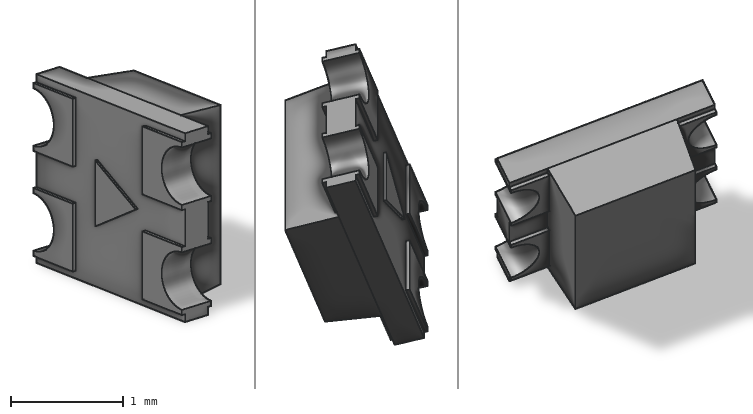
import cadquery as cq
import math

board_length = 2.0
board_width = 1.8
board_thickness = 0.275

pad_height = 0.035
pad_length = 0.532
pad_width = 0.648
pad_pitch = 1.0
notch_radius = 0.275

lens_length = 1.26
lens_draft_angle = 5.1
overall_height = 0.83

mark_circumradius = 0.365
mark_thickness = 0.025

pads_bottom = 0.0
board_bottom = pads_bottom + pad_height
board_top = board_bottom + board_thickness
pads_top = board_top + pad_height
lens_top = pads_bottom + overall_height

notch_places = [
    (x, z)
    for x in (-board_length / 2, board_length / 2)
    for z in (-pad_pitch / 2, pad_pitch / 2)
]


def plane_at(y):
    """XZ sketch plane at height y; its normal is +Y and its local x runs toward -X."""
    return cq.Plane(origin=(0, y, 0), xDir=(-1, 0, 0), normal=(0, 1, 0))


def make_pad(edge_x, z, y):
    """Rectangular pad from a board edge inward, its underside at height y."""
    inner_x = edge_x - math.copysign(pad_length, edge_x)
    return (
        cq.Workplane(plane_at(y))
        .center(-(edge_x + inner_x) / 2, z)
        .rect(pad_length, pad_width)
        .extrude(pad_height)
    )


def make_notch(edge_x, z):
    """Round cutter through the board and both of its pads."""
    return (
        cq.Workplane(plane_at(pads_bottom))
        .center(-edge_x, z)
        .circle(notch_radius)
        .extrude(pads_top - pads_bottom)
    )


def make_board():
    """Flat board with four notched pads on each face."""
    board = (
        cq.Workplane(plane_at(board_bottom))
        .rect(board_length, board_width)
        .extrude(board_thickness)
    )
    for edge_x, z in notch_places:
        board = board.union(make_pad(edge_x, z, pads_bottom))
        board = board.union(make_pad(edge_x, z, board_top))
        board = board.cut(make_notch(edge_x, z))
    return board


def make_lens():
    """Tapered block on the board, recessed over the inner ends of the top pads."""
    lens = (
        cq.Workplane(plane_at(board_top))
        .rect(lens_length, board_width)
        .extrude(lens_top - board_top, taper=lens_draft_angle)
    )
    for edge_x, z in notch_places:
        lens = lens.cut(make_pad(edge_x, z, board_top))
    return lens


def make_mark():
    """Thin triangle on the underside of the board."""
    base_distance = mark_circumradius / 2
    half_side = mark_circumradius * math.sqrt(3) / 2
    tip = (-mark_circumradius, 0)
    base_corners = [(base_distance, half_side), (base_distance, -half_side)]
    return (
        cq.Workplane(plane_at(board_bottom))
        .polyline([tip, *base_corners])
        .close()
        .extrude(-mark_thickness)
    )


board = make_board()
lens = make_lens()
mark = make_mark()

result = cq.Compound.makeCompound([board.val(), lens.val(), mark.val()])